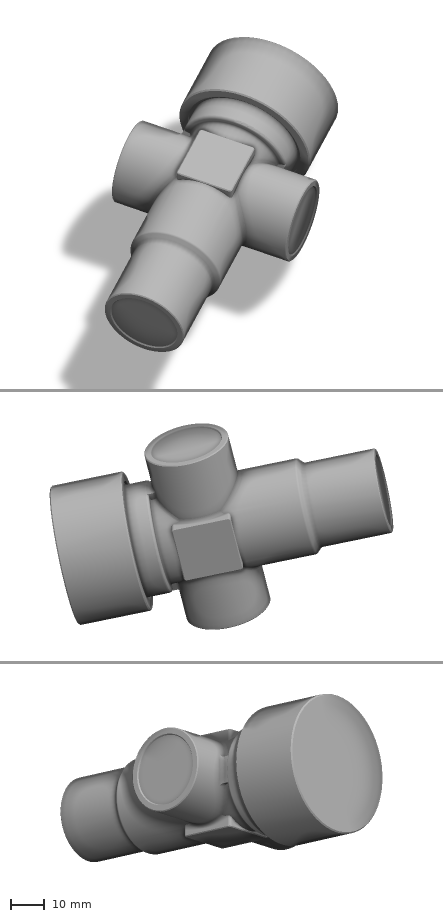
import cadquery as cq
import math

total_length = 96.5
cap_end = 43.0
cap_length = 21.8
collar_length = 7.1
body_end = -29.8
spigot_end = cap_end - total_length
cap_front = cap_end - cap_length
collar_front = cap_front - collar_length

cap_radius = 42.0 / 2
collar_radius = 33.9 / 2
body_radius = 28.95 / 2
pipe_radius = 25.5 / 2

port_span = 56.0
saddle_fillet = 1.0
surface_tolerance = 0.001

bridge_radius = 16.9
bridge_half_angle = 14

cap_bore_radius = 36.1 / 2
clearance_depth = 0.7

cap_chamfer = 0.4
collar_edge_radius = 0.9
collar_root_radius = 0.6
shoulder_edge_radius = 0.9
shoulder_root_radius = 1.5

end_chamfer = 0.3
recess_radius = 21.6 / 2
recess_depth = 0.4
recess_taper = 0.3

pad_width = 17.7
pad_length = 17.95
pad_height = 30.0
pad_corner_radius = 0.9
pad_rim_chamfer = 0.3


def main_axis_cylinder(radius, y_front, y_back):
    """Cylinder on the Y axis between two Y positions."""
    return cq.Workplane("XZ", origin=(0, y_back, 0)).circle(radius).extrude(y_back - y_front)


def bridge():
    """Sector about the Y axis, centred on +X, that joins the collar to the side port."""
    return (
        cq.Workplane("XY")
        .rect(bridge_radius, cap_front, centered=False)
        .revolve(2 * bridge_half_angle, (0, 0), (0, 1))
        .rotate((0, 0, 0), (0, 1, 0), -bridge_half_angle)
    )


def pad(side):
    """Flat square pad reaching from the centre to the +Z (side = 1) or -Z (side = -1) face."""
    block = cq.Workplane("XY").rect(pad_width, pad_length).extrude(side * pad_height / 2)
    block = block.edges("|Z").fillet(pad_corner_radius)
    outer_face = ">Z" if side > 0 else "<Z"
    return block.faces(outer_face).edges().chamfer(pad_rim_chamfer)


def lies_on_cross_pipe(edge):
    """True for an edge that runs along the cylindrical surface of the cross pipe."""
    points = edge.positions((0.2, 0.5, 0.8))
    return all(abs(math.hypot(point.y, point.z) - pipe_radius) < surface_tolerance for point in points)


def crossing():
    """Body, cross pipe, bridges and lower pad, blended along the pipe."""
    body = main_axis_cylinder(body_radius, body_end, cap_front)
    pipe = cq.Workplane("YZ").circle(pipe_radius).extrude(port_span / 2, both=True)
    pipe = pipe.faces("<X or >X").edges().chamfer(end_chamfer)
    rough = body.union(pipe).union(bridge()).union(bridge().mirror("YZ")).union(pad(-1))
    half_reach = bridge_radius + saddle_fillet / 2
    saddle_zone = cq.selectors.BoxSelector(
        (-half_reach, -half_reach, -half_reach), (half_reach, half_reach, half_reach), boundingbox=True
    )
    return rough.edges(saddle_zone).filter(lies_on_cross_pipe).fillet(saddle_fillet)


def shoulder_and_spigot():
    """45 degree shoulder from the body down to the spigot, rounded at both ends."""
    slope = math.radians(45)
    mid_x = math.cos(slope / 2)
    mid_y = math.sin(slope / 2)
    end_x = math.cos(slope)
    end_y = math.sin(slope)
    cone_length = body_radius - pipe_radius
    setbacks = (shoulder_edge_radius + shoulder_root_radius) * math.tan(slope / 2)
    root_end = body_end - cone_length - setbacks

    edge_center = body_radius - shoulder_edge_radius
    edge_arc_mid = (edge_center + shoulder_edge_radius * mid_x, body_end - shoulder_edge_radius * mid_y)
    edge_arc_end = (edge_center + shoulder_edge_radius * end_x, body_end - shoulder_edge_radius * end_y)
    root_center = pipe_radius + shoulder_root_radius
    root_arc_start = (root_center - shoulder_root_radius * end_x, root_end + shoulder_root_radius * end_y)
    root_arc_mid = (root_center - shoulder_root_radius * mid_x, root_end + shoulder_root_radius * mid_y)
    return (
        cq.Workplane("XY")
        .moveTo(0, body_end)
        .lineTo(body_radius, body_end)
        .threePointArc(edge_arc_mid, edge_arc_end)
        .lineTo(*root_arc_start)
        .threePointArc(root_arc_mid, (pipe_radius, root_end))
        .lineTo(pipe_radius, spigot_end + end_chamfer)
        .lineTo(pipe_radius - end_chamfer, spigot_end)
        .lineTo(0, spigot_end)
        .close()
        .revolve(360, (0, 0), (0, 1))
    )


def cap_and_collar():
    """Large cap and the collar in front of it, with a rounded collar edge and root."""
    cap = main_axis_cylinder(cap_radius, cap_front, cap_end).edges().chamfer(cap_chamfer)
    bore_floor = cap_front + clearance_depth
    cap = cap.cut(main_axis_cylinder(cap_bore_radius, cap_front, bore_floor))
    collar = main_axis_cylinder(collar_radius, collar_front, bore_floor)
    collar = collar.faces("<Y").edges().fillet(collar_edge_radius)
    root_reach = body_radius + collar_root_radius
    root_front = collar_front - collar_root_radius
    root_bow = collar_root_radius * (1 - math.sqrt(0.5))
    root = (
        cq.Workplane("XY")
        .moveTo(0, collar_front)
        .lineTo(root_reach, collar_front)
        .threePointArc((body_radius + root_bow, collar_front - root_bow), (body_radius, root_front))
        .lineTo(0, root_front)
        .close()
        .revolve(360, (0, 0), (0, 1))
    )
    return cap.union(collar).union(root)


def end_recess(center, inward):
    """Shallow tapered disc to cut into a pipe end face."""
    floor_radius = recess_radius - recess_taper
    return cq.Workplane(
        cq.Solid.makeCone(recess_radius, floor_radius, recess_depth, cq.Vector(*center), cq.Vector(*inward))
    )


result = crossing().union(shoulder_and_spigot()).union(cap_and_collar()).union(pad(1))
result = result.cut(end_recess((0, spigot_end, 0), (0, 1, 0)))
for side in (-1, 1):
    result = result.cut(end_recess((side * port_span / 2, 0, 0), (-side, 0, 0)))